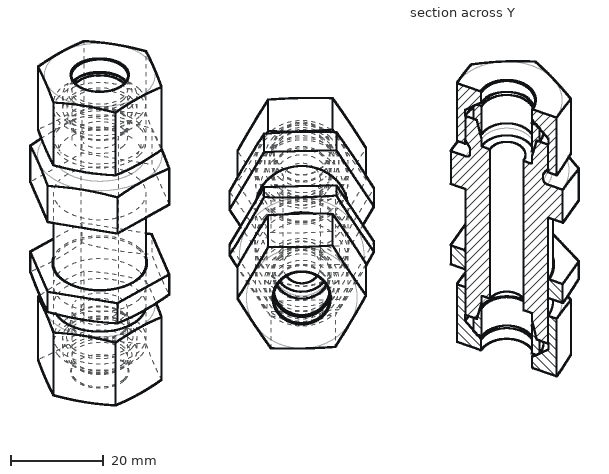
import cadquery as cq
import math


total_height = 78.0
mid_height = total_height / 2
tube_diameter = 12.0
thread_diameter = 20.0

nut_across_flats = 24.0
collar_across_flats = 27.0
hex_chamfer_angle = 14.0
hex_chamfer_inset = 0.15

body_length = 60.05
body_top = mid_height + body_length / 2
body_bottom = mid_height - body_length / 2
collar_bottom = 46.9
collar_height = 10.1
collar_top = collar_bottom + collar_height
through_bore_diameter = 8.0
cone_mouth_diameter = 14.3
cone_half_angle = 12.0
tube_stop_depth = 7.5
cone_depth = (cone_mouth_diameter - tube_diameter) / 2 / math.tan(math.radians(cone_half_angle))

groove_diameter = 17.7
groove_fillet_radius = 1.0
groove_straight_top = collar_top + 2.5
groove_blend_radius = 0.8
groove_flank_angle = 30.0

lock_nut_bottom = 22.7
lock_nut_height = 5.85
lock_nut_rim_diameter = 20.4

nut_height = 17.5
nut_hole_diameter = 12.2
nut_hole_rim_diameter = 12.55
nut_cone_depth = 3.4

ring_diameter = 16.0
ring_depth = 4.3
ring_lip_thickness = 0.3


def revolve_profile(points):
    """Solid of revolution about Z from (radius, height) points."""
    return cq.Workplane("XZ").polyline(points).close().revolve(360, (0, 0), (0, 1))


def hexagon(across_flats, bottom, height, chamfer_bottom=False, chamfer_top=False):
    """Hexagonal prism whose corners are turned off conically at the chosen ends."""
    top = bottom + height
    corner_radius = across_flats / math.sqrt(3)
    face_radius = (across_flats - hex_chamfer_inset) / 2
    drop = (corner_radius - face_radius) * math.tan(math.radians(hex_chamfer_angle))
    prism = (
        cq.Workplane("XY", origin=(0, 0, bottom))
        .polygon(6, 2 * corner_radius)
        .extrude(height)
        .rotate((0, 0, 0), (0, 0, 1), 30)
    )
    outline = [(0, bottom)]
    if chamfer_bottom:
        outline += [(face_radius, bottom), (corner_radius, bottom + drop)]
    else:
        outline += [(corner_radius, bottom)]
    if chamfer_top:
        outline += [(corner_radius, top - drop), (face_radius, top)]
    else:
        outline += [(corner_radius, top)]
    outline += [(0, top)]
    return prism.intersect(revolve_profile(outline))


def turn_end_for_end(body):
    """Place a body made for the top end at the bottom end."""
    return body.rotate((0, 0, mid_height), (1, 0, mid_height), 180)


def make_shank():
    """Turned outside of the fitting body, with the relief groove above the collar."""
    thread_radius = thread_diameter / 2
    groove_radius = groove_diameter / 2
    fillet_foot_radius = groove_radius + groove_fillet_radius
    fillet_top = collar_top + groove_fillet_radius
    flank = math.radians(groove_flank_angle)
    blend_x = groove_radius + groove_blend_radius * (1 - math.cos(flank))
    blend_z = groove_straight_top + groove_blend_radius * math.sin(flank)
    half_flank = flank / 2
    blend_mid = (
        groove_radius + groove_blend_radius * (1 - math.cos(half_flank)),
        groove_straight_top + groove_blend_radius * math.sin(half_flank),
    )
    flank_top = blend_z + (thread_radius - blend_x) / math.tan(flank)
    fillet_mid_offset = groove_fillet_radius * (1 - math.sqrt(0.5))
    fillet_mid = (groove_radius + fillet_mid_offset, collar_top + fillet_mid_offset)
    return (
        cq.Workplane("XZ")
        .moveTo(0, body_bottom)
        .lineTo(thread_radius, body_bottom)
        .lineTo(thread_radius, collar_top)
        .lineTo(fillet_foot_radius, collar_top)
        .threePointArc(fillet_mid, (groove_radius, fillet_top))
        .lineTo(groove_radius, groove_straight_top)
        .threePointArc(blend_mid, (blend_x, blend_z))
        .lineTo(thread_radius, flank_top)
        .lineTo(thread_radius, body_top)
        .lineTo(0, body_top)
        .close()
        .revolve(360, (0, 0), (0, 1))
    )


def make_tube_socket():
    """Space for tube and cutting ring at the top end of the fitting body."""
    tube_stop = body_top - tube_stop_depth
    return revolve_profile([
        (0, tube_stop),
        (tube_diameter / 2, tube_stop),
        (tube_diameter / 2, body_top - cone_depth),
        (cone_mouth_diameter / 2, body_top),
        (0, body_top),
    ])


def make_fitting_body():
    collar = hexagon(collar_across_flats, collar_bottom, collar_height, chamfer_top=True)
    bore = cq.Workplane("XY").circle(through_bore_diameter / 2).extrude(total_height)
    socket = make_tube_socket()
    return make_shank().union(collar).cut(bore).cut(socket).cut(turn_end_for_end(socket))


def make_lock_nut():
    top = lock_nut_bottom + lock_nut_height
    thread_radius = thread_diameter / 2
    rim_radius = lock_nut_rim_diameter / 2
    hole = revolve_profile([
        (0, lock_nut_bottom),
        (thread_radius, lock_nut_bottom),
        (thread_radius, top - (rim_radius - thread_radius)),
        (rim_radius, top),
        (0, top),
    ])
    blank = hexagon(collar_across_flats, lock_nut_bottom, lock_nut_height, chamfer_bottom=True)
    return blank.cut(hole)


def make_union_nut():
    """Union nut at the top end."""
    bottom = total_height - nut_height
    thread_radius = thread_diameter / 2
    hole_radius = nut_hole_diameter / 2
    rim_radius = nut_hole_rim_diameter / 2
    cone_top = total_height - nut_cone_depth
    cavity = revolve_profile([
        (0, bottom),
        (thread_radius, bottom),
        (thread_radius, cone_top - (thread_radius - hole_radius)),
        (hole_radius, cone_top),
        (hole_radius, total_height - (rim_radius - hole_radius)),
        (rim_radius, total_height),
        (0, total_height),
    ])
    blank = hexagon(nut_across_flats, bottom, nut_height, chamfer_bottom=True, chamfer_top=True)
    return blank.cut(cavity)


def make_cutting_ring():
    """Cutting ring at the top end, between the body cone and the nut cone."""
    inner_radius = tube_diameter / 2
    outer_radius = ring_diameter / 2
    back = total_height - ring_depth
    back_radius = nut_hole_diameter / 2 + ring_depth - nut_cone_depth
    lip_rise = ring_lip_thickness / math.tan(math.radians(cone_half_angle))
    lip = body_top - cone_depth + lip_rise
    return revolve_profile([
        (inner_radius, lip),
        (inner_radius + ring_lip_thickness, lip),
        (cone_mouth_diameter / 2, body_top),
        (outer_radius, body_top),
        (outer_radius, back - (outer_radius - back_radius)),
        (back_radius, back),
        (inner_radius, back),
    ])


fitting_body = make_fitting_body()
lock_nut = make_lock_nut()
end_bodies = []
for make_end_body in (make_union_nut, make_cutting_ring):
    top_copy = make_end_body()
    end_bodies += [top_copy, turn_end_for_end(top_copy)]

result = cq.Compound.makeCompound([
    fitting_body.val(),
    lock_nut.val(),
    *[body.val() for body in end_bodies],
])